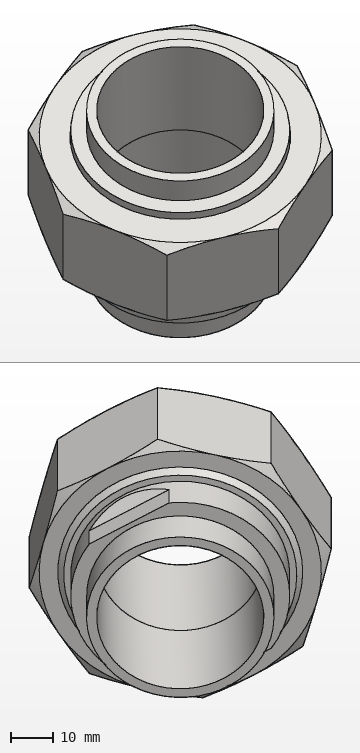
import cadquery as cq
import math


total_height = 57.0
bore_radius = 19.8
pipe_radius = 22.25
collar_radius = 26.0

nut_across_flats = 67.0
nut_sides = 8
nut_bottom = 20.85
nut_top = 47.7
nut_chamfer_angle = 30.0
lip_clearance = 0.2
lip_thickness = 4.0
lip_bottom = nut_top - lip_thickness

lower_pipe_top = 9.7
lower_collar_top = 19.4
shank_radius = 29.1
shank_chamfer = nut_bottom - lower_collar_top
wrench_flat_offset = 23.5
wrench_flat_top = 15.8

flange_bottom = 26.8
upper_collar_top = 49.85


def ring(outer_radius, inner_radius, bottom, top):
    """Plain ring around Z between two heights."""
    return (
        cq.Workplane("XY", origin=(0, 0, bottom))
        .circle(outer_radius)
        .circle(inner_radius)
        .extrude(top - bottom)
    )


def make_wrench_flat_cutter():
    """Removes a flat on the -Y side that runs out along a 45 degree slope."""
    runout = collar_radius - wrench_flat_offset
    return (
        cq.Workplane("YZ")
        .moveTo(-wrench_flat_offset, lower_pipe_top)
        .lineTo(-collar_radius, lower_pipe_top)
        .lineTo(-collar_radius, wrench_flat_top + runout)
        .lineTo(-wrench_flat_offset, wrench_flat_top)
        .close()
        .extrude(collar_radius, both=True)
    )


def make_lower_body():
    """Pipe end, collar with two opposite wrench flats, and chamfered shank inside the nut."""
    pipe = ring(pipe_radius, bore_radius, 0, lower_pipe_top)
    collar = ring(collar_radius, bore_radius, lower_pipe_top, lower_collar_top)
    flat_cutter = make_wrench_flat_cutter()
    for angle in (0, 180):
        collar = collar.cut(flat_cutter.rotate((0, 0, 0), (0, 0, 1), angle))
    shank = ring(shank_radius, bore_radius, lower_collar_top, flange_bottom)
    outer_edge = cq.selectors.RadiusNthSelector(-1)
    shank = shank.faces("<Z").edges(outer_edge).chamfer(shank_chamfer)
    return pipe.union(collar).union(shank)


def make_upper_body():
    """Flange held under the nut lip, collar through the lip, and pipe end."""
    flange = ring(shank_radius, bore_radius, flange_bottom, lip_bottom)
    collar = ring(collar_radius, bore_radius, lip_bottom, upper_collar_top)
    pipe = ring(pipe_radius, bore_radius, upper_collar_top, total_height)
    return flange.union(collar).union(pipe)


def make_nut_chamfer_envelope():
    """Double cone that trims the octagon corners, tangent to the flats at both end faces."""
    inscribed_radius = nut_across_flats / 2
    corner_radius = inscribed_radius / math.cos(math.pi / nut_sides)
    drop = (corner_radius - inscribed_radius) * math.tan(math.radians(nut_chamfer_angle))
    return (
        cq.Workplane("XZ")
        .moveTo(0, nut_bottom)
        .lineTo(inscribed_radius, nut_bottom)
        .lineTo(corner_radius, nut_bottom + drop)
        .lineTo(corner_radius, nut_top - drop)
        .lineTo(inscribed_radius, nut_top)
        .lineTo(0, nut_top)
        .close()
        .revolve(360, (0, 0, 0), (0, 1, 0))
    )


def make_nut():
    """Octagonal nut with chamfered corners, a bore for the shank and a lip at the top."""
    octagon = (
        cq.Workplane("XY", origin=(0, 0, nut_bottom))
        .polygon(nut_sides, nut_across_flats, circumscribed=True)
        .extrude(nut_top - nut_bottom)
    )
    shank_bore = (
        cq.Workplane("XY", origin=(0, 0, nut_bottom))
        .circle(shank_radius)
        .extrude(lip_bottom - nut_bottom)
    )
    lip_bore = (
        cq.Workplane("XY", origin=(0, 0, lip_bottom))
        .circle(collar_radius + lip_clearance)
        .extrude(lip_thickness)
    )
    return octagon.intersect(make_nut_chamfer_envelope()).cut(shank_bore).cut(lip_bore)


lower_body = make_lower_body()
upper_body = make_upper_body()
nut = make_nut()

result = cq.Compound.makeCompound([lower_body.val(), upper_body.val(), nut.val()])